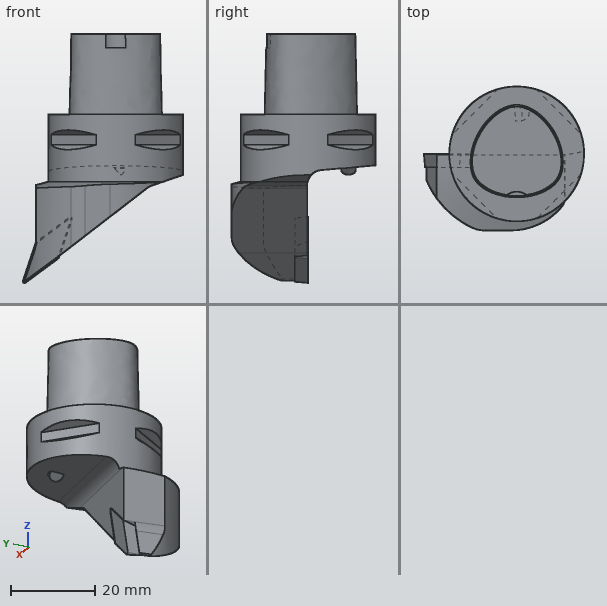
import cadquery as cq
import math


shank_height = 19.05
shank_base_radius = 11.0
shank_end_radius = 10.55
lobe_size = 0.65
lobe_points = 48
notch_radius = 3.8
notch_center_y = -12.75
notch_depth = 3.3

flange_radius = 16.0
flange_height = 15.95
slot_floor_distance = 14.1
slot_middle_z = -6.0
slot_first_angle = 45.0
slot_floor_half_height = 1.2
slot_flare = 1.15
slot_count = 4

insert_edge = 11.1
insert_tip_angle = 35.0
insert_edge_slope = 36.5
insert_thickness = 3.1
insert_clearance = 5.0
insert_nose_radius = 0.4
insert_lowest_z = shank_height - 59.0
insert_leftmost_x = flange_radius - 38.0

rake_face_y = -0.2
head_side_y = flange_radius - 34.15
head_left_x = -18.9
toe_left_x = -21.4
toe_corner_y = -6.2
left_arc_middle = (-16.3, -13.55)
left_arc_end = (-10.6, -17.45)
flat_left_x = -7.4
flat_right_x = -1.4
right_arc_end = (11.25, -11.75)
shoulder_angle = 15.0
heel_gap = 0.385
cove_radius = 7.65
knee_radius = 3.55
knee_point = (7.9, -17.1)
underside_break_x = -12.4
flange_corner_z = -14.35

relief_outer_z = -12.1
relief_inner_y = 3.1
relief_inner_z = -13.2
relief_wall_z = -16.35
relief_arc_middle = (1.0, -14.1)

nozzle_radius = 1.74
nozzle_y = 9.55
nozzle_end_z = -13.1
nozzle_length = 3.55
nozzle_tilt = 45.0


def lobed_points(mean_radius):
    """Constant-width curve with one lobe on +Y, from its support function."""
    points = []
    for i in range(lobe_points):
        a = 2 * math.pi * i / lobe_points
        support = mean_radius + lobe_size * math.cos(3 * a)
        slope = -3 * lobe_size * math.sin(3 * a)
        x = -support * math.sin(a) - slope * math.cos(a)
        y = support * math.cos(a) - slope * math.sin(a)
        points.append((x, y))
    return points


def make_shank():
    shank = (
        cq.Workplane("XY")
        .spline(lobed_points(shank_base_radius), periodic=True).close()
        .workplane(offset=shank_height)
        .spline(lobed_points(shank_end_radius), periodic=True).close()
        .loft(ruled=True)
    )
    notch = (
        cq.Workplane("XY", origin=(0, notch_center_y, shank_height - notch_depth))
        .circle(notch_radius)
        .extrude(notch_depth)
    )
    return shank.cut(notch)


def make_gripper_slot(angle):
    """Straight flared groove across the flange rim, facing the given angle."""
    depth = flange_radius - slot_floor_distance
    mouth_half_height = slot_floor_half_height + slot_flare
    profile = [
        (slot_floor_distance, slot_middle_z - slot_floor_half_height),
        (slot_floor_distance + depth, slot_middle_z - mouth_half_height),
        (slot_floor_distance + depth, slot_middle_z + mouth_half_height),
        (slot_floor_distance, slot_middle_z + slot_floor_half_height),
    ]
    groove = cq.Workplane("XZ").polyline(profile).close().extrude(flange_radius, both=True)
    return groove.rotate((0, 0, 0), (0, 0, 1), angle)


def make_relief():
    """Space on the +Y side of the rake face, below the flange."""
    far = 2 * flange_radius
    low = 2 * insert_lowest_z
    rise = (relief_outer_z - relief_inner_z) / (flange_radius - relief_inner_y)
    far_z = relief_inner_z + rise * (far - relief_inner_y)
    return (
        cq.Workplane("YZ")
        .moveTo(rake_face_y, low)
        .lineTo(rake_face_y, relief_wall_z)
        .threePointArc(relief_arc_middle, (relief_inner_y, relief_inner_z))
        .lineTo(far, far_z)
        .lineTo(far, low)
        .close()
        .extrude(far, both=True)
    )


lower_angle = math.radians(insert_edge_slope)
upper_angle = math.radians(insert_edge_slope + insert_tip_angle)
lower_dir = (math.cos(lower_angle), math.sin(lower_angle))
upper_dir = (math.cos(upper_angle), math.sin(upper_angle))

nose_x = insert_leftmost_x + insert_nose_radius
nose_z = insert_lowest_z + insert_nose_radius
bisector = (lower_angle + upper_angle) / 2
nose_distance = insert_nose_radius / math.sin(math.radians(insert_tip_angle / 2))
tip_x = nose_x - nose_distance * math.cos(bisector)
tip_z = nose_z - nose_distance * math.sin(bisector)


def make_insert():
    a = (tip_x + insert_edge * lower_dir[0], tip_z + insert_edge * lower_dir[1])
    b = (a[0] + insert_edge * upper_dir[0], a[1] + insert_edge * upper_dir[1])
    c = (tip_x + insert_edge * upper_dir[0], tip_z + insert_edge * upper_dir[1])
    outline = cq.Sketch().polygon([(tip_x, tip_z), a, b, c, (tip_x, tip_z)])
    outline = outline.vertices().fillet(insert_nose_radius)
    return cq.Workplane("XZ").placeSketch(outline).extrude(insert_thickness, taper=insert_clearance)


def make_head_plan():
    """Plan outline of the head, including the part that reaches out under the insert."""
    depth = -2 * insert_lowest_z
    return (
        cq.Workplane("XY", origin=(0, 0, -depth))
        .moveTo(toe_left_x, 0)
        .lineTo(toe_left_x, toe_corner_y)
        .threePointArc(left_arc_middle, left_arc_end)
        .tangentArcPoint((flat_left_x, head_side_y), relative=False)
        .lineTo(flat_right_x, head_side_y)
        .tangentArcPoint(right_arc_end, relative=False)
        .lineTo(right_arc_end[0], 0)
        .close()
        .extrude(depth)
    )


def make_side_profile():
    """Side outline of flange and head, with the sloping underside and left heel."""
    overhang_x = tip_x + heel_gap / math.sin(upper_angle)
    slope = math.tan(lower_angle)
    heel_slope = math.tan(upper_angle)
    underside_z = tip_z + heel_gap / math.cos(lower_angle)
    toe_x = (underside_z - tip_z + heel_slope * overhang_x - slope * tip_x) / (heel_slope - slope)
    toe_z = underside_z + slope * (toe_x - tip_x)
    break_z = underside_z + slope * (underside_break_x - tip_x)
    heel_top_z = toe_z + heel_slope * (head_left_x - toe_x)
    profile = (
        cq.Workplane("XZ")
        .polyline([
            (head_left_x, 0),
            (flange_radius, 0),
            (flange_radius, flange_corner_z),
            knee_point,
            (underside_break_x, break_z),
            (toe_x, toe_z),
            (head_left_x, heel_top_z),
        ])
        .close()
        .extrude(2 * flange_radius, both=True)
    )
    knee = cq.selectors.NearestToPointSelector((knee_point[0], 0, knee_point[1]))
    heel = cq.selectors.NearestToPointSelector((head_left_x, 0, heel_top_z))
    return profile.edges(knee).fillet(knee_radius).edges(heel).fillet(cove_radius)


def make_shoulder_cone():
    """Conical limit for the head's top, falling away from the flange."""
    outer_radius = 2 * flange_radius
    drop = (outer_radius - flange_radius) * math.tan(math.radians(shoulder_angle))
    low = 2 * insert_lowest_z
    return (
        cq.Workplane("XZ")
        .polyline([
            (0, -flange_height),
            (flange_radius, -flange_height),
            (outer_radius, -flange_height - drop),
            (outer_radius, low),
            (0, low),
        ])
        .close()
        .revolve(360, (0, 0, 0), (0, 1, 0))
    )


def make_nozzle():
    """Coolant nozzle, slanting out of the flange with its flat end face exposed."""
    tilt = math.radians(nozzle_tilt)
    end_face = cq.Plane(
        origin=(0, nozzle_y, nozzle_end_z),
        xDir=(0, 1, 0),
        normal=(math.sin(tilt), 0, math.cos(tilt)),
    )
    return cq.Workplane(end_face).circle(nozzle_radius).extrude(nozzle_length)


def make_holder(insert):
    flange = cq.Workplane("XY").circle(flange_radius).extrude(-flange_height)
    head = make_head_plan().intersect(make_shoulder_cone())
    body = flange.union(head).intersect(make_side_profile()).cut(make_relief())
    for i in range(slot_count):
        body = body.cut(make_gripper_slot(slot_first_angle + i * 360 / slot_count))
    body = body.union(make_shank()).union(make_nozzle())
    return body.cut(insert)


insert = make_insert()
holder = make_holder(insert)
result = cq.Compound.makeCompound([holder.val(), insert.val()])